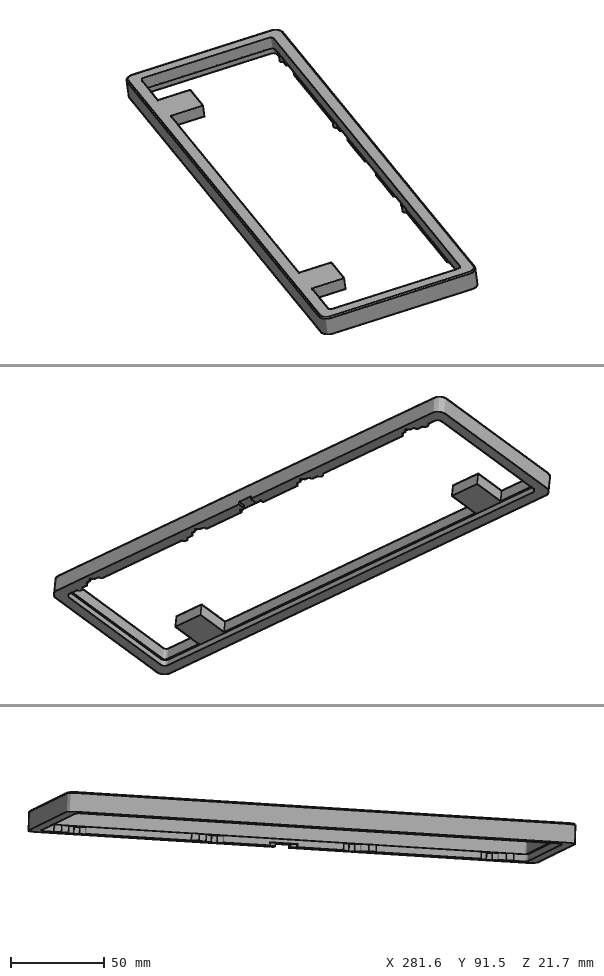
import cadquery as cq
import math

frame_length = 281.6
overall_depth = 91.5
overall_height = 21.7
tilt_angle = 7.0

rim_width = 7.0
top_chamfer = 0.8
outer_corner_radius = 5.0
inner_corner_radius = 2.0
lip_thickness = 7.0

tilt = math.radians(tilt_angle)
chamfer_shift = top_chamfer * math.sin(tilt)
depth_reach = overall_depth + chamfer_shift
height_reach = overall_height + chamfer_shift
frame_depth = (depth_reach * math.cos(tilt) - height_reach * math.sin(tilt)) / math.cos(2 * tilt)
frame_height = (height_reach * math.cos(tilt) - depth_reach * math.sin(tilt)) / math.cos(2 * tilt)
undercut_height = frame_height - lip_thickness

opening_length = frame_length - 2 * rim_width
opening_depth = frame_depth - 2 * rim_width
opening_edge = opening_depth / 2

tab_width = 18.3
tab_length = 19.0
tab_offset = 100.0

undercut_depth = 0.8
undercut_wall = opening_edge + undercut_depth

pocket_offsets = (-114.0, -38.0, 38.0, 114.0)
pocket_width = 9.5
pocket_mouth_radius = 0.82
pocket_floor_radius = 1.05
pocket_depth = pocket_mouth_radius + pocket_floor_radius
pocket_floor = undercut_wall + pocket_depth
screw_groove_diameter = 3.0
rib_spacing = 11.0
rib_diameter = 4.5
rib_inset = 0.8

port_height = 1.7
port_width = 8.5
port_relief_width = 15.2


def block(x_size, y_start, y_end, z_start, z_end):
    """Box centred on X, spanning the given Y and Z limits."""
    size = (x_size, y_end - y_start, z_end - z_start)
    return cq.Workplane().box(*size, centered=(True, False, False)).translate((0, y_start, z_start))


def undercut_cylinder(x, y, diameter):
    """Upright cylinder as tall as the undercut."""
    return cq.Workplane().center(x, y).circle(diameter / 2).extrude(undercut_height)


def opening(height, widening=0):
    """Rounded window of the frame, starting at the bottom face."""
    return (
        cq.Workplane()
        .rect(opening_length + 2 * widening, opening_depth + 2 * widening)
        .extrude(height)
        .edges("|Z")
        .fillet(inner_corner_radius + widening)
    )


def rim():
    outside = (
        cq.Workplane()
        .rect(frame_length, frame_depth)
        .extrude(frame_height)
        .edges("|Z")
        .fillet(outer_corner_radius)
        .faces(">Z")
        .chamfer(top_chamfer)
    )
    return outside.cut(opening(frame_height)).cut(opening(undercut_height, undercut_depth))


def tab():
    root = -opening_edge - rim_width / 2
    return block(tab_width, root, tab_length - opening_edge, undercut_height, frame_height)


def screw_pocket(x):
    wall_x = pocket_width / 2
    mouth_x = wall_x + pocket_mouth_radius
    floor_x = wall_x - pocket_floor_radius
    wall_y = undercut_wall + pocket_mouth_radius
    pocket = (
        cq.Workplane()
        .moveTo(-mouth_x, undercut_wall)
        .radiusArc((-wall_x, wall_y), -pocket_mouth_radius)
        .radiusArc((-floor_x, pocket_floor), pocket_floor_radius)
        .lineTo(floor_x, pocket_floor)
        .radiusArc((wall_x, wall_y), pocket_floor_radius)
        .radiusArc((mouth_x, undercut_wall), -pocket_mouth_radius)
        .close()
        .extrude(undercut_height)
        .translate((x, 0, 0))
    )
    return pocket.union(undercut_cylinder(x, pocket_floor, screw_groove_diameter))


def locating_rib(pocket_x):
    x = pocket_x + math.copysign(rib_spacing, pocket_x)
    return undercut_cylinder(x, undercut_wall + rib_inset, rib_diameter)


def cable_port():
    relief = block(port_relief_width, opening_edge, pocket_floor, 0, port_height)
    return relief.union(block(port_width, opening_edge, frame_depth / 2, 0, port_height))


frame = rim()
for side in (-1, 1):
    frame = frame.union(tab().translate((side * tab_offset, 0, 0)))
for pocket_x in pocket_offsets:
    frame = frame.cut(screw_pocket(pocket_x)).union(locating_rib(pocket_x))
frame = frame.cut(cable_port())

result = frame.rotate((0, 0, 0), (1, 0, 0), tilt_angle)